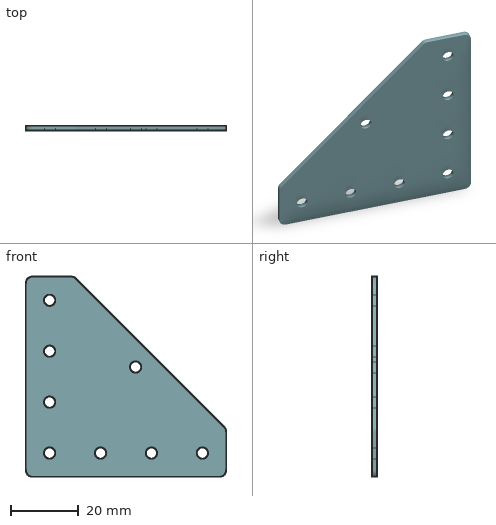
import cadquery as cq

side = 59.0
thickness = 1.5
end_width = 14.15
corner_radius = 2.0

hole_diameter = 3.25
edge_distance = 7.0
hole_pitch = 15.0
holes_per_row = 4
inner_hole_offset = 32.35


def plate():
    outline = [(0, 0), (side, 0), (side, end_width), (end_width, side), (0, side)]
    body = cq.Workplane("XZ").polyline(outline).close().extrude(-thickness)
    return body.edges("|Y").fillet(corner_radius)


def hole_centres():
    row = [edge_distance + i * hole_pitch for i in range(holes_per_row)]
    along_x = [(x, edge_distance) for x in row]
    along_z = [(edge_distance, z) for z in row[1:]]
    return along_x + along_z + [(inner_hole_offset, inner_hole_offset)]


holes = (
    cq.Workplane("XZ")
    .pushPoints(hole_centres())
    .circle(hole_diameter / 2)
    .extrude(-thickness)
)

result = plate().cut(holes)